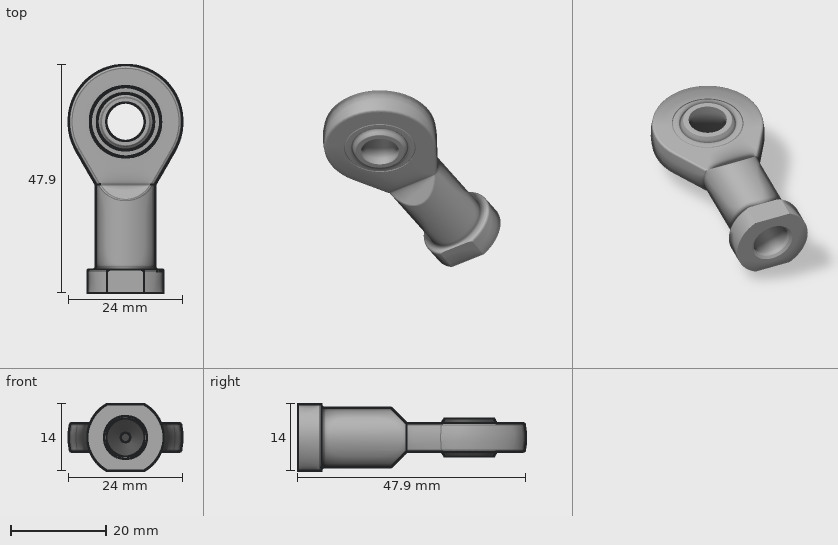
import cadquery as cq
import math


overall_length = 47.9

eye_radius = 12.0
eye_thickness = 6.0
flank_angle = 30.0
eye_rim_fillet = 0.5

shank_diameter = 12.5
shoulder_slope = 45.0
shoulder_fillet = 0.3
shoulder_rim_fillet = 0.4
collar_diameter = 16.0
collar_length = 5.0
collar_fillet = 0.5
collar_flats = 14.0
neck_fillet = 0.5
shank_end_y = eye_radius - overall_length

bore_diameter = 8.0
bore_mouth_diameter = 9.0
bore_depth = 16.0
bore_tip_diameter = 2.0
bore_tip_slope = 30.0

race_diameter = 15.0
race_chamfer = 0.25
race_mouth_diameter = 12.08
ball_diameter = 13.0
ball_width = 8.0
ball_bore_diameter = 8.0
ball_edge_fillet = 0.15

half_eye = eye_thickness / 2
shank_radius = shank_diameter / 2
flank = math.radians(flank_angle)
tangent_x = eye_radius * math.cos(flank)
tangent_y = -eye_radius * math.sin(flank)
shoulder_y = tangent_y - (tangent_x - shank_radius) / math.tan(flank)


def shank_workplane():
    """Workplane on the shank's end face, with its normal pointing toward the eye (+Y)."""
    return cq.Workplane("XZ", origin=(0, shank_end_y, 0)).transformed(rotate=(180, 0, 0))


def make_flank_barrel(side):
    """Round bar whose outermost line is the flank on one side (+1 or -1) of the eye."""
    direction = cq.Vector(side * math.sin(flank), math.cos(flank), 0)
    bar_length = 4 * eye_radius
    start = direction * (-bar_length / 2)
    return cq.Workplane(cq.Solid.makeCylinder(eye_radius, bar_length, start, direction))


def make_eye():
    """Ball-sided eye with bulged flanks that run tangentially down to the shank."""
    slab = cq.Workplane("XY").box(4 * eye_radius, 4 * eye_radius, eye_thickness)
    round_end = cq.Workplane("XY").sphere(eye_radius).intersect(slab)
    taper = (
        cq.Workplane("XY", origin=(0, 0, -half_eye))
        .moveTo(0, 0)
        .lineTo(tangent_x, tangent_y)
        .lineTo(shank_radius, shoulder_y)
        .lineTo(-shank_radius, shoulder_y)
        .lineTo(-tangent_x, tangent_y)
        .close()
        .extrude(eye_thickness)
    )
    for side in (1, -1):
        taper = taper.intersect(make_flank_barrel(side))
    eye = round_end.union(taper)
    return eye.faces("|Z").edges("not |X").fillet(eye_rim_fillet)


def make_shank():
    """Round shank whose eye end is cut to a wedge by two sloping shoulders with rounded corners and rims."""
    slope = math.radians(shoulder_slope)
    slope_length = (shank_radius - half_eye) / math.tan(slope)
    corner_setback = shoulder_fillet * math.tan(slope / 2)
    ramp_y = shoulder_y - corner_setback * math.cos(slope)
    ramp_z = half_eye + corner_setback * math.sin(slope)
    end_y = shoulder_y + corner_setback
    middle_y = end_y - shoulder_fillet * math.sin(slope / 2)
    middle_z = half_eye + shoulder_fillet * (1 - math.cos(slope / 2))

    shank = shank_workplane().circle(shank_radius).extrude(end_y - shank_end_y)
    wedge = (
        cq.Workplane("YZ", origin=(-shank_radius, 0, 0))
        .moveTo(shank_end_y, -shank_radius)
        .lineTo(shoulder_y - slope_length, -shank_radius)
        .lineTo(ramp_y, -ramp_z)
        .threePointArc((middle_y, -middle_z), (end_y, -half_eye))
        .lineTo(end_y, half_eye)
        .threePointArc((middle_y, middle_z), (ramp_y, ramp_z))
        .lineTo(shoulder_y - slope_length, shank_radius)
        .lineTo(shank_end_y, shank_radius)
        .close()
        .extrude(shank_diameter)
    )
    shank = shank.intersect(wedge)
    return shank.edges("%ELLIPSE").fillet(shoulder_rim_fillet)


def make_collar():
    """Round collar with a rounded rear edge, a neck fillet and two wrench flats."""
    collar_radius = collar_diameter / 2
    rear_y = shank_end_y + collar_length
    rim_offset = collar_fillet * (1 - math.sqrt(0.5))
    neck_offset = neck_fillet * (1 - math.sqrt(0.5))
    collar = (
        cq.Workplane("XY")
        .moveTo(0, shank_end_y)
        .lineTo(collar_radius, shank_end_y)
        .lineTo(collar_radius, rear_y - collar_fillet)
        .threePointArc(
            (collar_radius - rim_offset, rear_y - rim_offset),
            (collar_radius - collar_fillet, rear_y),
        )
        .lineTo(shank_radius + neck_fillet, rear_y)
        .threePointArc(
            (shank_radius + neck_offset, rear_y + neck_offset),
            (shank_radius, rear_y + neck_fillet),
        )
        .lineTo(0, rear_y + neck_fillet)
        .close()
        .revolve(360, (0, 0, 0), (0, 1, 0))
    )
    flats = cq.Workplane("XY", origin=(0, rear_y, 0)).box(2 * collar_diameter, 4 * collar_length, collar_flats)
    return collar.intersect(flats)


def make_bore():
    """Threaded-bore blank: countersunk mouth, straight bore and blunt conical floor."""
    bore_radius = bore_diameter / 2
    mouth_radius = bore_mouth_diameter / 2
    tip_radius = bore_tip_diameter / 2
    floor_y = shank_end_y + bore_depth
    tip_y = floor_y + (bore_radius - tip_radius) * math.tan(math.radians(bore_tip_slope))
    return (
        cq.Workplane("XY")
        .moveTo(0, shank_end_y)
        .lineTo(mouth_radius, shank_end_y)
        .lineTo(bore_radius, shank_end_y + mouth_radius - bore_radius)
        .lineTo(bore_radius, floor_y)
        .lineTo(tip_radius, tip_y)
        .lineTo(0, tip_y)
        .close()
        .revolve(360, (0, 0, 0), (0, 1, 0))
    )


def make_housing():
    body = make_eye().union(make_shank()).union(make_collar())
    eye_hole = cq.Workplane("XY").circle(race_diameter / 2).extrude(half_eye, both=True)
    return body.cut(make_bore()).cut(eye_hole)


def make_race():
    race = cq.Workplane("XY").circle(race_diameter / 2).extrude(half_eye, both=True)
    race = race.faces("|Z").edges().chamfer(race_chamfer)
    race = race.cut(cq.Workplane("XY").sphere(ball_diameter / 2))
    mouth_radius = race_mouth_diameter / 2
    mouth = cq.Solid.makeCone(mouth_radius - half_eye, mouth_radius, half_eye)
    return race.cut(cq.Workplane(mouth)).cut(cq.Workplane(mouth.mirror("XY")))


def make_ball():
    blank = cq.Workplane("XY").circle(ball_diameter).extrude(ball_width / 2, both=True)
    ball = cq.Workplane("XY").sphere(ball_diameter / 2).intersect(blank)
    ball = ball.faces("|Z").edges().fillet(ball_edge_fillet)
    bore = cq.Workplane("XY").circle(ball_bore_diameter / 2).extrude(ball_width, both=True)
    return ball.cut(bore)


housing = make_housing()
race = make_race()
ball = make_ball()
result = cq.Compound.makeCompound([housing.val(), race.val(), ball.val()])